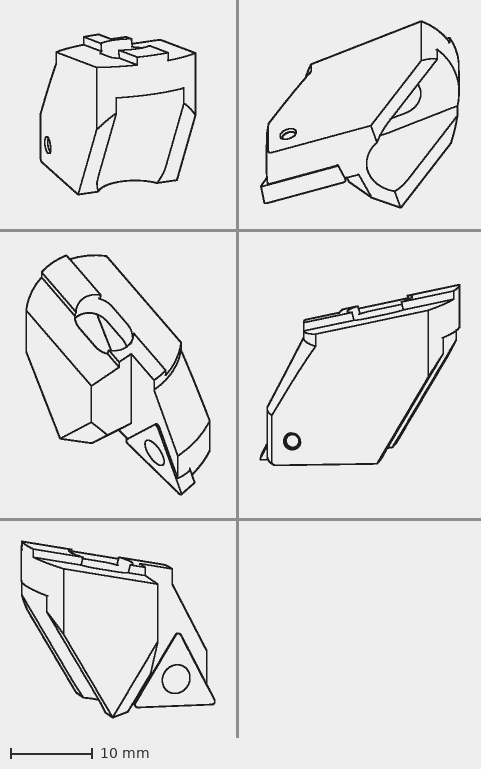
import cadquery as cq
import math


end_radius = 9.525
nose_radius = 14.0
nose_cone_top_z = -3.265
nose_cone_bottom_z = -12.06
width = 12.9
half_width = width / 2
top_slope = 14.0
bottom_slope = 3.0
back_slope = 30.0
heel_x = 0.6
heel_z = -17.62
bottom_fillet = 0.4
key_width = 4.0
key_height = 1.0

slot_width = 5.2
slot_straight = 3.0
head_slot_width = 8.8
head_slot_depth = 4.0

seat_y = 0.05
seat_wall_x = -5.26
relief_corner_z = -14.1
relief_break_y = 3.885
relief_angle = 7.0

inscribed_radius = 6.35 / 2
circumradius = 2 * inscribed_radius
insert_corner_radius = 0.4
insert_corner_angle = 60.0
insert_thickness = 2.38
insert_flank_angle = 7.0
insert_top_y = 0.3
insert_x = -9.92
insert_z = -15.43

screw_z = -15.21
screw_radius = 1.025
screw_head_radius = 1.8
screw_chamfer = 0.22
screw_tip_recess = 0.3

far = 40.0


def line_z(x, slope, x0=0.0, z0=0.0):
    """Height at x of a line through (x0, z0) that climbs at slope degrees."""
    return z0 + (x - x0) * math.tan(math.radians(slope))


def sloped_plane(height):
    """Plane parallel to the shoulder face, at a height above it."""
    tilt = math.radians(top_slope)
    normal = cq.Vector(-math.sin(tilt), 0, math.cos(tilt))
    along = cq.Vector(math.cos(tilt), 0, math.sin(tilt))
    return cq.Plane(origin=normal * height, xDir=along, normal=normal)


def holder_blank():
    """Rounded block: a cylinder at the back, a wider nose below a cone at the front."""
    height = 2 * far
    back = cq.Workplane("XY").workplane(offset=-far).circle(end_radius).extrude(height)
    nose = (
        cq.Workplane("XZ")
        .moveTo(0, -far)
        .lineTo(-nose_radius, -far)
        .lineTo(-nose_radius, nose_cone_bottom_z)
        .lineTo(-end_radius, nose_cone_top_z)
        .lineTo(-end_radius, far)
        .lineTo(0, far)
        .close()
        .revolve(360, (0, 0, 0), (0, 1, 0))
    )
    front_half = cq.Workplane("XY").box(far, width, height)
    front_half = front_half.translate((-far / 2, 0, 0))
    slab = cq.Workplane("XY").box(far, width, height)
    return back.intersect(slab).union(nose.intersect(front_half))


def side_outline():
    """Slab between the sloping key top, the bottom and the back slope."""
    key_rise = key_height / math.cos(math.radians(top_slope))
    back_angle = 90 - back_slope
    return (
        cq.Workplane("XZ", origin=(0, half_width, 0))
        .moveTo(-far, line_z(-far, top_slope, 0, key_rise))
        .lineTo(-far, line_z(-far, bottom_slope, heel_x, heel_z))
        .lineTo(heel_x, heel_z)
        .lineTo(far, line_z(far, back_angle, heel_x, heel_z))
        .lineTo(far, line_z(far, top_slope, 0, key_rise))
        .close()
        .extrude(width)
    )


def shoulders():
    """Material beside the key, above the shoulder face."""
    offset = (key_width + far) / 2
    return (
        cq.Workplane(sloped_plane(0))
        .pushPoints([(0, offset), (0, -offset)])
        .rect(2 * far, far)
        .extrude(far)
    )


def mounting_slot():
    """Slotted hole that widens below into a slot for the screw head, open at the back."""
    hole = (
        cq.Workplane(sloped_plane(-head_slot_depth))
        .slot2D(slot_straight + slot_width, slot_width)
        .extrude(far)
    )
    head_plane = cq.Workplane(sloped_plane(-head_slot_depth))
    head_end = head_plane.center(-slot_straight / 2, 0).circle(head_slot_width / 2).extrude(-far)
    head_run = (
        head_plane.center((far - slot_straight) / 2, 0)
        .rect(far, head_slot_width)
        .extrude(-far)
    )
    return hole.union(head_end).union(head_run)


def seat_cut():
    """Everything in front of the seat wall and on the +Y side of the seat."""
    return (
        cq.Workplane("XY")
        .box(far, far, 2 * far, centered=(False, False, True))
        .translate((seat_wall_x - far, seat_y, 0))
    )


def relief_cut():
    """Clearance parallel to the insert's back edge, opening gently and then at 45 degrees."""
    fall = math.radians(insert_corner_angle - bottom_slope)
    along = cq.Vector(math.cos(fall), 0, -math.sin(fall))
    corner = (seat_wall_x, seat_y, relief_corner_z)
    plane = cq.Plane(origin=corner, xDir=(0, 1, 0), normal=along)
    break_run = relief_break_y - seat_y
    break_rise = break_run * math.tan(math.radians(relief_angle))
    side_run = half_width - relief_break_y
    return (
        cq.Workplane(plane)
        .moveTo(0, 0)
        .lineTo(break_run, break_rise)
        .lineTo(break_run + side_run, break_rise + side_run)
        .lineTo(break_run + side_run, -far)
        .lineTo(0, -far)
        .close()
        .extrude(far, both=True)
    )


def insert_blank():
    """Triangle with rounded corners, its flanks tapering in away from the +Y cutting face."""
    triangle = (
        cq.Sketch()
        .regularPolygon(circumradius, 3, angle=bottom_slope)
        .vertices()
        .fillet(insert_corner_radius)
    )
    return (
        cq.Workplane("XZ", origin=(insert_x, insert_top_y, insert_z))
        .placeSketch(triangle)
        .extrude(insert_thickness, taper=insert_flank_angle)
    )


def screw_shape(tip_y, tip_chamfer):
    """Countersunk screw along Y, with its head flush with the insert's cutting face."""
    length = insert_top_y - tip_y
    head_depth = screw_head_radius - screw_radius
    return (
        cq.Workplane("XY", origin=(insert_x, insert_top_y, screw_z))
        .lineTo(screw_head_radius, 0)
        .lineTo(screw_radius, -head_depth)
        .lineTo(screw_radius, tip_chamfer - length)
        .lineTo(screw_radius - tip_chamfer, -length)
        .lineTo(0, -length)
        .close()
        .revolve(360, (0, 0, 0), (0, 1, 0))
    )


screw = screw_shape(screw_tip_recess - half_width, screw_chamfer)
insert = insert_blank().cut(screw)

holder = holder_blank().intersect(side_outline())
bottom_front_edge = cq.selectors.NearestToPointSelector(
    (-nose_radius, 0, line_z(-nose_radius, bottom_slope, heel_x, heel_z))
)
holder = holder.edges(bottom_front_edge).fillet(bottom_fillet)
screw_bore = (
    cq.Workplane("XZ", origin=(insert_x, 0, screw_z)).circle(screw_radius).extrude(half_width)
)
for cutter in (shoulders(), mounting_slot(), seat_cut(), relief_cut(), insert_blank(), screw_bore):
    holder = holder.cut(cutter)

result = cq.Compound.makeCompound([body.solids().val() for body in (holder, insert, screw)])